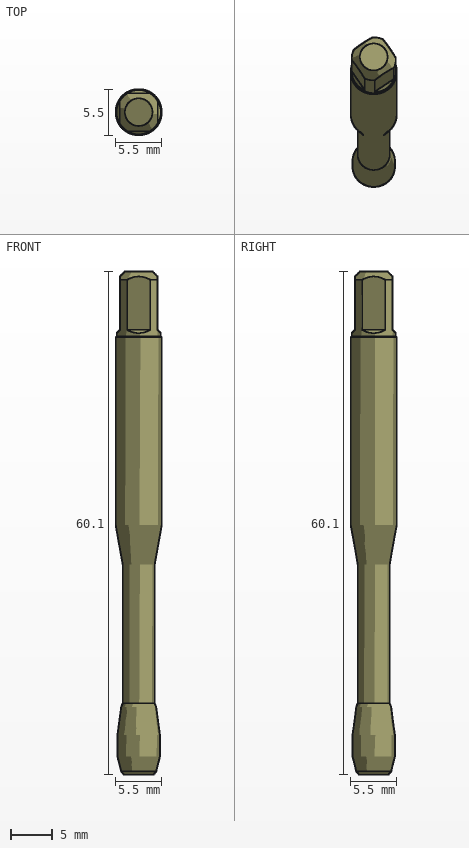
import cadquery as cq

total_length = 60.1
tip_chamfer_height = 0.4
band_bottom_z = 2.2
band_top_z = 4.75
head_cone_top_z = 8.1
head_top_z = 8.55
neck_top_z = 25.1
shank_cone_top_z = 29.8
shank_top_z = 52.2
flat_bottom_z = 53.1

tip_diameter = 3.5
tip_chamfer_diameter = 4.2
band_diameter = 5.1
head_cone_top_diameter = 4.2
neck_diameter = 3.85
shank_diameter = 5.5
drive_diameter = 5.3
drive_end_diameter = 3.3

across_flats = 4.5
flat_count = 4


def revolve_profile(stations):
    """Revolve (diameter, height) stations, listed upward, into a solid about Z."""
    outline = [(diameter / 2, height) for diameter, height in stations]
    bottom_z = outline[0][1]
    top_z = outline[-1][1]
    return (
        cq.Workplane("XZ")
        .polyline([(0, bottom_z), *outline, (0, top_z)])
        .close()
        .revolve(360, (0, 0), (0, 1))
    )


def make_flat_cutter(angle):
    """Cutter for one drive flat, with a 45 degree run-out at its lower end."""
    flat_distance = across_flats / 2
    outer_distance = shank_diameter / 2
    runout_bottom_z = flat_bottom_z - (outer_distance - flat_distance)
    return (
        cq.Workplane("XZ")
        .polyline([
            (flat_distance, total_length),
            (flat_distance, flat_bottom_z),
            (outer_distance, runout_bottom_z),
            (outer_distance, total_length),
        ])
        .close()
        .extrude(shank_diameter / 2, both=True)
        .rotate((0, 0, 0), (0, 0, 1), angle)
    )


def make_head():
    """Working head: a cylindrical band between tapers, chamfered at both ends."""
    return revolve_profile([
        (tip_diameter, 0),
        (tip_chamfer_diameter, tip_chamfer_height),
        (band_diameter, band_bottom_z),
        (band_diameter, band_top_z),
        (head_cone_top_diameter, head_cone_top_z),
        (neck_diameter, head_top_z),
    ])


def make_shank():
    """Neck, tapered shank and square drive, standing on top of the head."""
    shoulder_chamfer = (shank_diameter - drive_diameter) / 2
    drive_chamfer = (drive_diameter - drive_end_diameter) / 2
    shank = revolve_profile([
        (neck_diameter, head_top_z),
        (neck_diameter, neck_top_z),
        (shank_diameter, shank_cone_top_z),
        (shank_diameter, shank_top_z),
        (drive_diameter, shank_top_z + shoulder_chamfer),
        (drive_diameter, total_length - drive_chamfer),
        (drive_end_diameter, total_length),
    ])
    for index in range(flat_count):
        shank = shank.cut(make_flat_cutter(index * 360 / flat_count))
    return shank


head = make_head()
shank = make_shank()

result = cq.Compound.makeCompound([head.val(), shank.val()])